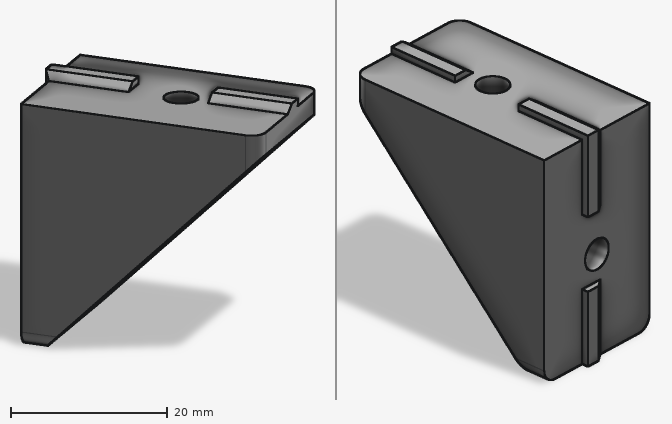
import cadquery as cq

SIZE = 34.0
WIDTH = 20.0
RIB_HEIGHT = 1.0
TIP_LENGTH = 4.0
CORNER_RADIUS = 2.0

RIB_BACK_Y = 2.8
CREST_WIDTH = 2.0
SLOPE_WIDTH = 1.43
INNER_RIB_END = 12.0
OUTER_RIB_START = 23.0

HOLE_DIAMETER = 4.5
HOLE_DISTANCE = 19.0

CREST_EDGE_Y = RIB_BACK_Y - CREST_WIDTH
RIB_FRONT_Y = CREST_EDGE_Y - SLOPE_WIDTH
FACE_Z = SIZE - RIB_HEIGHT


def make_body():
    """Gusset block with a mounting face on -X and one on +Z."""
    body = (
        cq.Workplane("XZ")
        .moveTo(RIB_HEIGHT, 0)
        .lineTo(TIP_LENGTH, 0)
        .lineTo(SIZE, SIZE - TIP_LENGTH)
        .lineTo(SIZE, FACE_Z)
        .lineTo(RIB_HEIGHT, FACE_Z)
        .close()
        .extrude(WIDTH / 2, both=True)
    )
    return body.edges("(>X and |Z) or (<Z and |X)").fillet(CORNER_RADIUS)


def top_rib(start, end):
    """Rib on the +Z face between two distances from the outer corner."""
    return (
        cq.Workplane("YZ", origin=(start, 0, 0))
        .moveTo(RIB_FRONT_Y, FACE_Z)
        .lineTo(CREST_EDGE_Y, SIZE)
        .lineTo(RIB_BACK_Y, SIZE)
        .lineTo(RIB_BACK_Y, FACE_Z)
        .close()
        .extrude(end - start)
    )


def side_rib(start, end):
    """Matching rib on the -X face, measured down from the outer corner."""
    return (
        cq.Workplane("XY", origin=(0, 0, SIZE - end))
        .moveTo(RIB_HEIGHT, RIB_FRONT_Y)
        .lineTo(0, CREST_EDGE_Y)
        .lineTo(0, RIB_BACK_Y)
        .lineTo(RIB_HEIGHT, RIB_BACK_Y)
        .close()
        .extrude(end - start)
    )


result = make_body()

for make_rib in (top_rib, side_rib):
    result = result.union(make_rib(RIB_HEIGHT, INNER_RIB_END))
    result = result.union(make_rib(OUTER_RIB_START, SIZE))

rib_joint = top_rib(0, RIB_HEIGHT).intersect(side_rib(0, RIB_HEIGHT))
result = result.union(rib_joint)

vertical_hole = cq.Workplane("XY").center(HOLE_DISTANCE, 0).circle(HOLE_DIAMETER / 2).extrude(SIZE)
level_hole = cq.Workplane("YZ").center(0, SIZE - HOLE_DISTANCE).circle(HOLE_DIAMETER / 2).extrude(SIZE)
result = result.cut(vertical_hole).cut(level_hole)